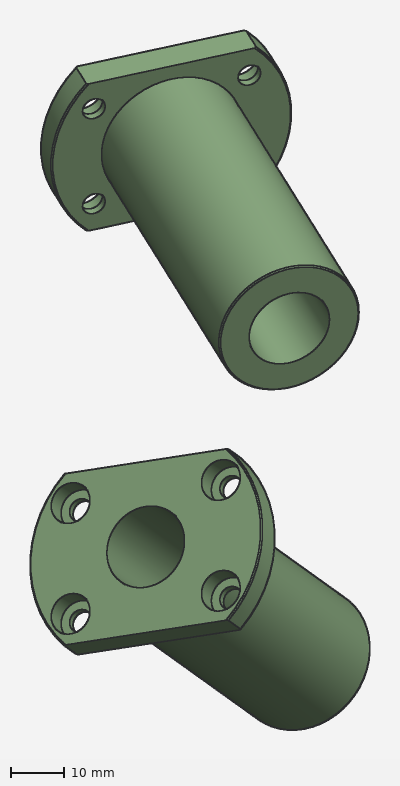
import cadquery as cq

length = 70.0
body_diameter = 28.0
bore_diameter = 16.0
edge_chamfer = 0.3

flange_diameter = 48.0
flange_height = 34.0
flange_thickness = 6.0

hole_diameter = 4.5
counterbore_diameter = 8.0
counterbore_depth = 4.4
hole_spacing_y = 31.0
hole_spacing_z = 22.0


def cylinder(diameter, height):
    """Cylinder along +X, starting at the flange face."""
    return cq.Workplane("YZ").circle(diameter / 2).extrude(height)


def make_flange():
    """Disc with chamfered rims, cut flat above and below."""
    disc = cylinder(flange_diameter, flange_thickness).edges().chamfer(edge_chamfer)
    flats = cq.Workplane("YZ").rect(flange_diameter, flange_height).extrude(flange_thickness)
    return disc.intersect(flats)


def make_body():
    """Sleeve with a chamfered free end."""
    return cylinder(body_diameter, length).faces(">X").edges().chamfer(edge_chamfer)


def make_mounting_holes():
    """Cutters for the four through holes and their counterbores."""
    centres = cq.Workplane("YZ").rect(hole_spacing_y, hole_spacing_z, forConstruction=True).vertices()
    through = centres.circle(hole_diameter / 2).extrude(flange_thickness)
    counterbores = centres.circle(counterbore_diameter / 2).extrude(counterbore_depth)
    return through.union(counterbores)


flange_and_sleeve = make_flange().union(make_body())
bored = flange_and_sleeve.cut(cylinder(bore_diameter, length))
result = bored.cut(make_mounting_holes())